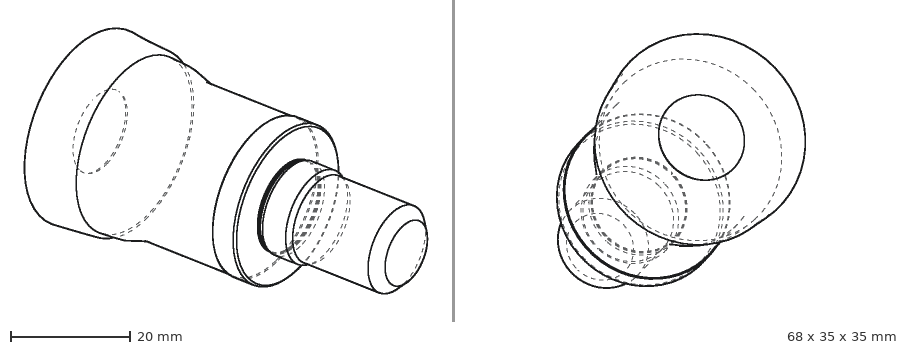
import cadquery as cq
import math

OVERALL_LENGTH = 68.0

CUP_LENGTH = 10.3
CUP_RADIUS = 35.0 / 2
CUP_TAPER = math.radians(4.7)
CUP_BACK_RADIUS = 16.2
RIM_ROUND = 1.0
BACK_CORNER = 0.55
DISH_ANGLE = math.radians(16)
FLOOR_RADIUS = 7.5
LIP_ROUND = 0.7

FLARE_FRONT_RADIUS = 15.9
FLARE_BEND_START = (13.95, 15.7)
FLARE_BEND_END = (14.95, 15.5)
THROAT_START = (18.7, 14.4)
THROAT_END = 19.9
SLEEVE_RADIUS = 28.6 / 2
FLANGE_RADIUS = 29.0 / 2
FLANGE_START = 37.95
FLANGE_END = 42.85
FLANGE_CHAMFER = 0.4
NECK_RADIUS = 16.6 / 2
NECK_END = 43.45
NECK_GROOVE_RADIUS = 8.15
NECK_GROOVE_START = 43.05
NECK_GROOVE_END = 43.25
COLLAR_RADIUS = 17.0 / 2
COLLAR_START = 44.05
COLLAR_END = 48.95
STUD_RADIUS = 15.8 / 2
STUD_START = 50.0
TIP_CHAMFER = 2.05


def turn(profile):
    """Close a profile and revolve it fully about the X axis."""
    return profile.close().revolve(360, (0, 0, 0), (1, 0, 0))


def on_circle(center, radius, angle):
    """Point on a circle; the angle is measured from +X towards larger radius."""
    return (
        center[0] + radius * math.cos(angle),
        center[1] + radius * math.sin(angle),
    )


def make_cup():
    rim_center = (RIM_ROUND, CUP_RADIUS - RIM_ROUND)
    dish_normal = math.pi + DISH_ANGLE
    dish_outer = on_circle(rim_center, RIM_ROUND, dish_normal)
    rim_front = on_circle(rim_center, RIM_ROUND, math.pi)
    taper_start = on_circle(rim_center, RIM_ROUND, math.pi / 2 - CUP_TAPER)
    taper_end_x = CUP_LENGTH - BACK_CORNER
    taper_end_radius = taper_start[1] - (taper_end_x - taper_start[0]) * math.tan(CUP_TAPER)

    lip_center_radius = FLOOR_RADIUS + LIP_ROUND
    dish_inner_radius = lip_center_radius - LIP_ROUND * math.sin(DISH_ANGLE)
    dish_inner_x = dish_outer[0] + (dish_outer[1] - dish_inner_radius) * math.tan(DISH_ANGLE)
    floor_x = dish_inner_x + LIP_ROUND * math.cos(DISH_ANGLE)
    wall_normal = 1.5 * math.pi
    lip_middle_angle = (dish_normal + wall_normal) / 2

    profile = (
        cq.Workplane("XY")
        .moveTo(CUP_LENGTH, 0)
        .lineTo(floor_x, 0)
        .lineTo(floor_x, FLOOR_RADIUS)
        .threePointArc(
            on_circle((floor_x, lip_center_radius), LIP_ROUND, lip_middle_angle),
            (dish_inner_x, dish_inner_radius),
        )
        .lineTo(*dish_outer)
        .threePointArc(rim_front, taper_start)
        .lineTo(taper_end_x, taper_end_radius)
        .tangentArcPoint((CUP_LENGTH, CUP_BACK_RADIUS), relative=False)
    )
    return turn(profile)


def make_housing():
    flange_step = FLANGE_RADIUS - SLEEVE_RADIUS
    profile = (
        cq.Workplane("XY")
        .moveTo(CUP_LENGTH, 0)
        .lineTo(CUP_LENGTH, FLARE_FRONT_RADIUS)
        .lineTo(*FLARE_BEND_START)
        .tangentArcPoint(FLARE_BEND_END, relative=False)
        .lineTo(*THROAT_START)
        .tangentArcPoint((THROAT_END, SLEEVE_RADIUS), relative=False)
        .lineTo(FLANGE_START, SLEEVE_RADIUS)
        .lineTo(FLANGE_START + flange_step, FLANGE_RADIUS)
        .lineTo(FLANGE_END - FLANGE_CHAMFER, FLANGE_RADIUS)
        .lineTo(FLANGE_END, FLANGE_RADIUS - FLANGE_CHAMFER)
        .lineTo(FLANGE_END, NECK_RADIUS)
        .lineTo(NECK_GROOVE_START, NECK_RADIUS)
        .lineTo(NECK_GROOVE_START, NECK_GROOVE_RADIUS)
        .lineTo(NECK_GROOVE_END, NECK_GROOVE_RADIUS)
        .lineTo(NECK_GROOVE_END, NECK_RADIUS)
        .lineTo(NECK_END, NECK_RADIUS)
        .lineTo(COLLAR_START, COLLAR_RADIUS)
        .lineTo(COLLAR_END, COLLAR_RADIUS)
        .lineTo(STUD_START, STUD_RADIUS)
        .lineTo(OVERALL_LENGTH - TIP_CHAMFER, STUD_RADIUS)
        .lineTo(OVERALL_LENGTH, STUD_RADIUS - TIP_CHAMFER)
        .lineTo(OVERALL_LENGTH, 0)
    )
    return turn(profile)


cup = make_cup()
housing = make_housing()
result = cq.Compound.makeCompound([cup.val(), housing.val()])